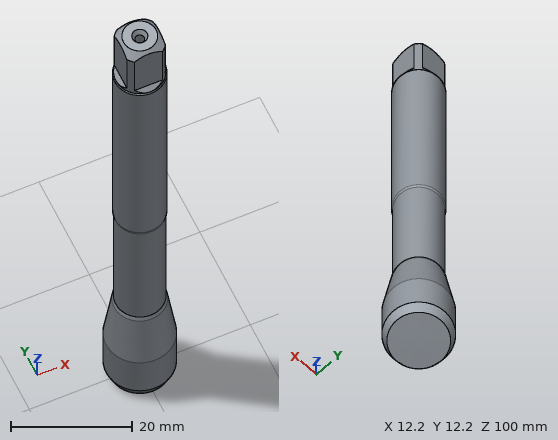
import cadquery as cq
import math

overall_length = 100.0

head_diameter = 12.17
head_tip_diameter = 10.5
head_tip_cone_height = 0.1
head_lead_top = 2.2
head_cylinder_top = 10.6
head_taper_top = 21.0
head_taper_top_diameter = 9.25
head_top = 21.8

neck_diameter = 8.7
shank_diameter = 9.0
neck_top = 46.9
neck_step_length = 0.6

square_width = 7.0
square_corner_diameter = 8.64
square_corner_length = 10.8
square_flat_length = 9.95
flat_runout_angle = 45.0
shoulder_bevel_length = 0.25
drive_end_diameter = 5.9

centre_hole_diameter = 1.6
centre_hole_depth = 3.5
countersink_diameter = 2.65
countersink_angle = 60.0
drill_point_angle = 120.0

flat_bottom = overall_length - square_flat_length
shoulder_top = overall_length - square_corner_length
shoulder_bottom = shoulder_top - shoulder_bevel_length
drive_end_bevel_length = (square_corner_diameter - drive_end_diameter) / 2


def revolve_profile(points):
    """Solid of revolution about Z from (radius, height) points."""
    return cq.Workplane("XZ").polyline(points).close().revolve(360, (0, 0), (0, 1))


def make_cutting_head():
    """Lead chamfer, cylinder and long taper up to the neck."""
    return revolve_profile([
        (0, 0),
        (head_tip_diameter / 2, head_tip_cone_height),
        (head_diameter / 2, head_lead_top),
        (head_diameter / 2, head_cylinder_top),
        (head_taper_top_diameter / 2, head_taper_top),
        (neck_diameter / 2, head_top),
        (0, head_top),
    ])


def make_turned_shank():
    """Neck, full-diameter shank and the round blank for the square drive."""
    corner_radius = square_corner_diameter / 2
    return revolve_profile([
        (0, head_top),
        (neck_diameter / 2, head_top),
        (neck_diameter / 2, neck_top),
        (shank_diameter / 2, neck_top + neck_step_length),
        (shank_diameter / 2, shoulder_bottom),
        (corner_radius, shoulder_top),
        (corner_radius, overall_length - drive_end_bevel_length),
        (drive_end_diameter / 2, overall_length),
        (0, overall_length),
    ])


def make_flat_cutter():
    """Bar that mills the +X flat, with a sloping floor where the flat runs out."""
    flat_offset = square_width / 2
    shank_radius = shank_diameter / 2
    runout_drop = (shank_radius - flat_offset) * math.tan(math.radians(flat_runout_angle))
    return (
        cq.Workplane("XZ")
        .polyline([
            (flat_offset, flat_bottom),
            (shank_radius, flat_bottom - runout_drop),
            (shank_radius, overall_length),
            (flat_offset, overall_length),
        ])
        .close()
        .extrude(shank_radius, both=True)
    )


def make_centre_hole():
    """Countersunk hole with a conical drill point, used as a cutter."""
    hole_radius = centre_hole_diameter / 2
    countersink_radius = countersink_diameter / 2
    countersink_depth = (countersink_radius - hole_radius) / math.tan(math.radians(countersink_angle / 2))
    point_length = hole_radius / math.tan(math.radians(drill_point_angle / 2))
    hole_floor = overall_length - centre_hole_depth
    return revolve_profile([
        (0, overall_length),
        (countersink_radius, overall_length),
        (hole_radius, overall_length - countersink_depth),
        (hole_radius, hole_floor),
        (0, hole_floor - point_length),
    ])


def make_shank():
    """Turned shank with the four drive flats and the centre hole cut into it."""
    shank = make_turned_shank()
    flat_cutter = make_flat_cutter()
    for angle in (0, 90, 180, 270):
        shank = shank.cut(flat_cutter.rotate((0, 0, 0), (0, 0, 1), angle))
    return shank.cut(make_centre_hole())


cutting_head = make_cutting_head()
shank = make_shank()

result = cq.Compound.makeCompound([cutting_head.val(), shank.val()])